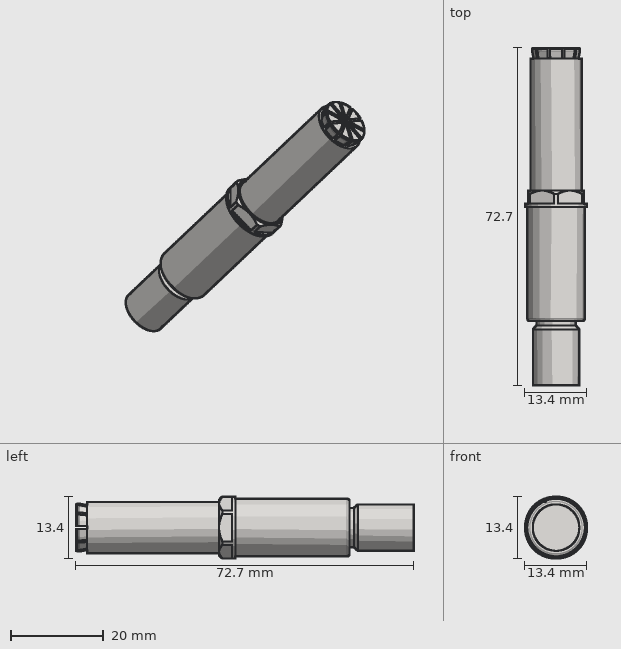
import cadquery as cq
import math

length = 72.7
front_end = -length / 2
back_end = length / 2

plunger_diameter = 10.0
neck_diameter = 8.5
body_diameter = 12.4
flange_diameter = 13.4
barrel_diameter = 11.1
crown_rim_diameter = 10.3
crown_root_diameter = 9.75

plunger_radius = plunger_diameter / 2
neck_radius = neck_diameter / 2
body_radius = body_diameter / 2
flange_radius = flange_diameter / 2
barrel_radius = barrel_diameter / 2
crown_rim_radius = crown_rim_diameter / 2
crown_root_radius = crown_root_diameter / 2

plunger_length = 12.1
plunger_taper = 0.9
neck_length = 0.9
body_length = 24.65
flange_thickness = 0.65
hex_length = 2.8
crown_length = 2.3

body_fillet = 0.6
hex_sides = 6
hex_across_flats = 12.0
hex_chamfer = 0.69

crown_rim_length = 0.7
crown_chamfer_length = 0.3
crown_chamfer_depth = 0.15
slot_count = 10
slot_width = 0.6

taper_start = front_end + plunger_length
neck_front = taper_start + plunger_taper
body_front = neck_front + neck_length
flange_front = body_front + body_length
hex_front = flange_front + flange_thickness
hex_back = hex_front + hex_length
crown_root = back_end - crown_length


def make_turned_body():
    """Revolve the stepped half outline (radius, station) about the Y axis."""
    half_outline = (
        cq.Workplane("XY")
        .moveTo(0, front_end)
        .lineTo(plunger_radius, front_end)
        .lineTo(plunger_radius, taper_start)
        .lineTo(neck_radius, neck_front)
        .lineTo(neck_radius, body_front)
        .lineTo(body_radius - body_fillet, body_front)
        .radiusArc((body_radius, body_front + body_fillet), -body_fillet)
        .lineTo(body_radius, flange_front)
        .lineTo(flange_radius, flange_front)
        .lineTo(flange_radius, hex_front)
        .lineTo(barrel_radius, hex_front)
        .lineTo(barrel_radius, crown_root)
        .lineTo(crown_root_radius, crown_root)
        .lineTo(crown_rim_radius, back_end - crown_rim_length)
        .lineTo(crown_rim_radius, back_end - crown_chamfer_length)
        .lineTo(crown_rim_radius - crown_chamfer_depth, back_end)
        .lineTo(0, back_end)
        .close()
    )
    return half_outline.revolve(360, (0, 0), (0, 1))


def make_hex_collar():
    """Hexagon with flats facing +X and -X, its corners turned round and chamfered at the back."""
    half_corner_angle = 180 / hex_sides
    across_corners = hex_across_flats / math.cos(math.radians(half_corner_angle))
    hexagon = (
        cq.Workplane("XZ", origin=(0, hex_back, 0))
        .transformed(rotate=(0, 0, half_corner_angle))
        .polygon(hex_sides, across_corners)
        .extrude(hex_length)
    )
    envelope = (
        cq.Workplane("XY")
        .moveTo(0, hex_front)
        .lineTo(flange_radius, hex_front)
        .lineTo(flange_radius, hex_back - hex_chamfer)
        .lineTo(flange_radius - hex_chamfer, hex_back)
        .lineTo(0, hex_back)
        .close()
        .revolve(360, (0, 0), (0, 1))
    )
    return hexagon.intersect(envelope)


def cut_crown_slots(part):
    """Cut slots across the crown; each cut spans the diameter and makes two opposite slots."""
    slot = cq.Workplane("XY").box(2 * flange_radius, crown_length, slot_width)
    slot = slot.translate((0, crown_root + crown_length / 2, 0))
    for index in range(slot_count // 2):
        angle = index * 360 / slot_count
        part = part.cut(slot.rotate((0, 0, 0), (0, 1, 0), angle))
    return part


result = cut_crown_slots(make_turned_body().union(make_hex_collar()))